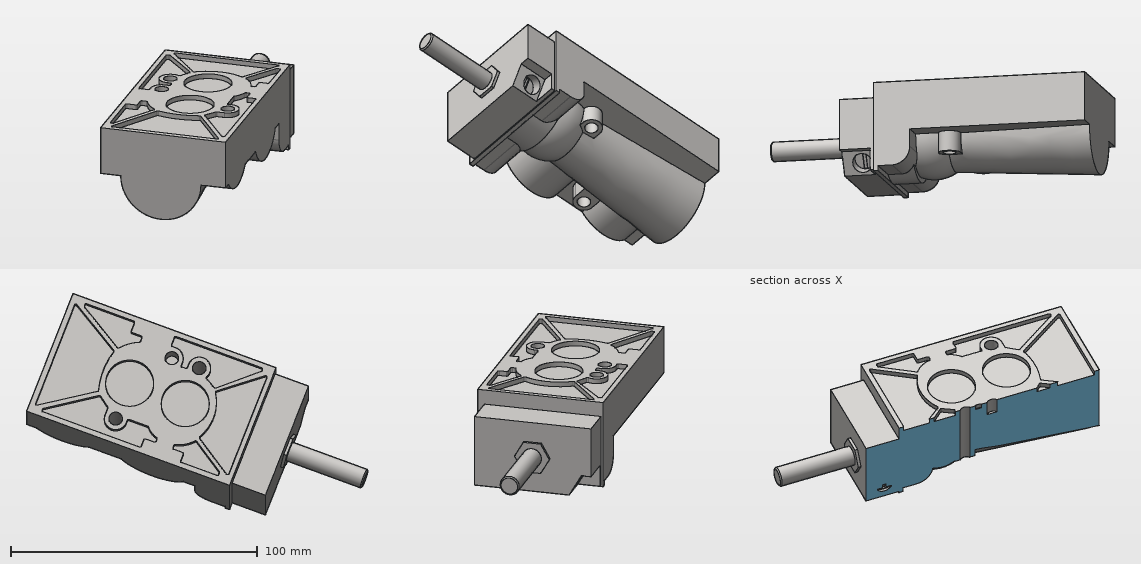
import cadquery as cq
import math

body_width = 53.0
body_length = 88.1
total_length = 136.4
total_height = 37.1
deck_depth = 20.0

belly_x = -1.0
belly_end_radius = total_height - deck_depth
cone_small_radius = 13.1
ball_radius = 15.7
ball_y = 68.7
barrel_start = 74.6

lug_start = 73.0
lug_depth = 34.6
lug_round = 7.4
plate_thickness = 1.9
plate_depth = 36.7

rib_radius = 15.0
ribs = [(15.7, 25.4), (54.5, 28.4)]

boss_radius = 4.5
boss_depth = 28.2
hole_diameter = 5.5
disc_x = 0.7
disc_front_y = 34.9
disc_rear_y = 59.0
hole_offset = 16.0
through_holes = [(disc_x - hole_offset, disc_rear_y), (disc_x + hole_offset, disc_front_y)]
blind_hole = (disc_x - hole_offset, 47.2)
blind_hole_depth = 6.8

disc_diameter = 19.5
disc_depth = 2.0
pocket_depth = 2.0
pocket_corner = 0.5
pocket_side = 24.4
collar_radius = 4.6

block_width = 49.2
block_end = 102.6
block_top = 6.1
block_bottom = 36.0
nut_side = 7.4
nut_thickness = 1.2
shaft_z = -21.0
shaft_diameter = 8.0
shaft_chamfer = 0.5

seat_start = 89.8
seat_height = 9.0
seat_inset = 4.1
seat_angle = 30.0
screw_y = 94.5
screw_hole_diameter = 8.0
screw_hole_depth = 4.8
slot_width = 1.4
slot_depth = 0.8


def box(x_range, y_range, z_range):
    """Axis-aligned box between the given limits."""
    (x0, x1), (y0, y1), (z0, z1) = x_range, y_range, z_range
    return cq.Workplane("XY").box(x1 - x0, y1 - y0, z1 - z0, centered=False).translate((x0, y0, z0))


def rod_along_y(radius, start, end, z):
    """Cylinder parallel to Y on the belly's X position."""
    plane = cq.Plane(origin=(belly_x, start, z), xDir=(1, 0, 0), normal=(0, 1, 0))
    return cq.Workplane(plane).circle(radius).extrude(end - start)


def hole(x, y, depth):
    """Round hole tool going down from the top face."""
    return cq.Workplane("XY").center(x, y).circle(hole_diameter / 2).extrude(-depth)


def make_belly():
    """Revolved cone, ball and barrel."""
    barrel_radius = plate_depth - deck_depth
    ball_end_radius = math.sqrt(ball_radius**2 - (barrel_start - ball_y) ** 2)
    ball_meet_y = ball_y - math.sqrt(ball_radius**2 - cone_small_radius**2)
    profile = (
        cq.Workplane("XY")
        .lineTo(belly_end_radius, 0)
        .lineTo(cone_small_radius, ball_meet_y)
        .threePointArc((ball_radius, ball_y), (ball_end_radius, barrel_start))
        .lineTo(barrel_radius, barrel_start)
        .lineTo(barrel_radius, body_length)
        .lineTo(0, body_length)
        .close()
    )
    solid = profile.revolve(360, (0, 0), (0, 1)).translate((belly_x, 0, -deck_depth))
    below_deck = box((-body_width, body_width), (0, body_length), (-total_height, -deck_depth))
    return solid.intersect(below_deck)


def make_lug():
    """Full-width lug with a rounded front lower edge, backed by a deeper plate."""
    half = body_width / 2
    lug = box((-half, half), (lug_start, body_length), (-lug_depth, -deck_depth))
    lug = lug.edges("|X and <Y and <Z").fillet(lug_round)
    plate = box((-half, half), (body_length - plate_thickness, body_length), (-plate_depth, -deck_depth))
    return lug.union(plate)


def make_boss(x, y):
    """Boss reaching from the belly axis out to a rounded end around its hole."""
    web = box(
        (min(x, belly_x), max(x, belly_x)),
        (y - boss_radius, y + boss_radius),
        (-boss_depth, -deck_depth),
    )
    return web.union(cq.Workplane("XY").center(x, y).circle(boss_radius).extrude(-boss_depth))


def make_rib(center_y, crest):
    """Segment of a cylinder along X under the +X flange."""
    half_chord = math.sqrt(rib_radius**2 - (rib_radius - (crest - deck_depth)) ** 2)
    return (
        cq.Workplane("YZ", origin=(belly_x, 0, 0))
        .moveTo(center_y - half_chord, -deck_depth)
        .threePointArc((center_y, -crest), (center_y + half_chord, -deck_depth))
        .close()
        .extrude(body_width / 2 - belly_x)
    )


def make_block():
    """Head block with the sloped, slotted screw seat."""
    left = belly_x - block_width / 2
    block = box((left, left + block_width), (body_length, block_end), (-block_bottom, -block_top))

    angle = math.radians(seat_angle)
    seat_top = seat_height - block_bottom
    seat_run = seat_height * math.tan(angle)
    seat_cut = (
        cq.Workplane("XZ", origin=(0, block_end, 0))
        .moveTo(left, seat_top)
        .lineTo(left + seat_inset, seat_top)
        .lineTo(left + seat_inset + seat_run, -block_bottom)
        .lineTo(left, -block_bottom)
        .close()
        .extrude(block_end - seat_start)
    )
    seat_plane = cq.Plane(
        origin=(left + seat_inset + seat_run / 2, screw_y, seat_top - seat_height / 2),
        xDir=(0, 1, 0),
        normal=(math.cos(angle), 0, math.sin(angle)),
    )
    screw_hole = cq.Workplane(seat_plane).circle(screw_hole_diameter / 2).extrude(screw_hole_depth)
    slot = (
        cq.Workplane(seat_plane)
        .workplane(offset=screw_hole_depth)
        .rect(slot_width, screw_hole_diameter)
        .extrude(slot_depth)
    )
    return block.cut(seat_cut).cut(screw_hole).cut(slot)


def make_shaft():
    """Hexagonal nut and chamfered shaft."""
    nut_end = block_end + nut_thickness
    plane = cq.Plane(origin=(belly_x, block_end, shaft_z), xDir=(1, 0, 0), normal=(0, 1, 0))
    nut = cq.Workplane(plane).polygon(6, 2 * nut_side).extrude(nut_thickness)
    shaft = rod_along_y(shaft_diameter / 2, nut_end, total_length, shaft_z)
    return nut.union(shaft.faces(">Y").chamfer(shaft_chamfer))


def pocket(outline):
    """Turn a closed outline on the top face into a pocket with rounded corners."""
    return outline.close().extrude(-pocket_depth).edges("|Z").fillet(pocket_corner)


def make_pockets():
    """Six pockets that leave diagonal webs and lands around the holes."""
    left_hole_x, left_hole_y = through_holes[0]
    right_hole_x, right_hole_y = through_holes[1]
    blind_x, blind_y = blind_hole

    rear = (
        cq.Workplane("XY")
        .moveTo(-22.5, 86.1)
        .lineTo(23.0, 86.1)
        .lineTo(12.0, 69.3)
        .threePointArc((3.0, 71.9), (-8.5, 68.6))
    )
    front = (
        cq.Workplane("XY")
        .moveTo(-23.2, 2.3)
        .lineTo(23.2, 2.3)
        .lineTo(8.3, 24.3)
        .threePointArc((-0.5, 22.9), (-9.8, 24.3))
    )
    left_rear = (
        cq.Workplane("XY")
        .moveTo(-pocket_side, 83.2)
        .lineTo(-23.0, 83.2)
        .lineTo(-9.5, 68.0)
        .lineTo(-12.5, left_hole_y + 3.8)
        .threePointArc(
            (left_hole_x - collar_radius, left_hole_y),
            (left_hole_x, left_hole_y - collar_radius),
        )
        .lineTo(-13.2, left_hole_y - collar_radius)
        .lineTo(-13.2, blind_y + collar_radius)
        .lineTo(blind_x, blind_y + collar_radius)
        .radiusArc((blind_x - collar_radius, blind_y), -collar_radius)
        .lineTo(blind_x - collar_radius, 45.0)
        .lineTo(-pocket_side, 45.0)
    )
    right_rear = (
        cq.Workplane("XY")
        .moveTo(22.6, 82.2)
        .lineTo(pocket_side, 82.2)
        .lineTo(pocket_side, 65.9)
        .lineTo(20.3, 65.9)
        .lineTo(20.3, 61.0)
        .lineTo(18.3, 61.0)
        .threePointArc((17.0, 64.5), (13.6, 68.6))
    )
    right_front = (
        cq.Workplane("XY")
        .moveTo(18.3, 53.6)
        .lineTo(20.3, 53.6)
        .lineTo(20.3, 48.7)
        .lineTo(pocket_side, 48.7)
        .lineTo(pocket_side, 5.7)
        .lineTo(23.2, 5.7)
        .lineTo(9.7, 25.5)
        .lineTo(13.2, right_hole_y - collar_radius)
        .lineTo(right_hole_x, right_hole_y - collar_radius)
        .threePointArc(
            (right_hole_x + collar_radius, right_hole_y),
            (right_hole_x, right_hole_y + collar_radius),
        )
        .lineTo(15.0, right_hole_y + collar_radius)
        .lineTo(15.0, 48.4)
        .threePointArc((17.0, 50.7), (18.3, 53.6))
    )
    left_front = (
        cq.Workplane("XY")
        .moveTo(-pocket_side, 27.7)
        .lineTo(-19.6, 27.7)
        .lineTo(-19.6, 32.7)
        .lineTo(-16.9, 32.7)
        .threePointArc((-15.3, 29.6), (-11.3, 25.4))
        .lineTo(-23.0, 6.1)
        .lineTo(-pocket_side, 6.1)
    )
    outlines = [rear, front, left_rear, right_rear, right_front, left_front]
    return [pocket(outline) for outline in outlines]


result = box((-body_width / 2, body_width / 2), (0, body_length), (-deck_depth, 0))
result = result.union(make_belly()).union(make_lug())
for center_y, crest in ribs:
    result = result.union(make_rib(center_y, crest))
for x, y in through_holes:
    result = result.union(make_boss(x, y))
result = result.union(make_block()).union(make_shaft())

for recess in make_pockets():
    result = result.cut(recess)
discs = [(disc_x, disc_front_y), (disc_x, disc_rear_y)]
result = result.cut(cq.Workplane("XY").pushPoints(discs).circle(disc_diameter / 2).extrude(-disc_depth))
for x, y in through_holes:
    result = result.cut(hole(x, y, total_height))
result = result.cut(hole(*blind_hole, blind_hole_depth))